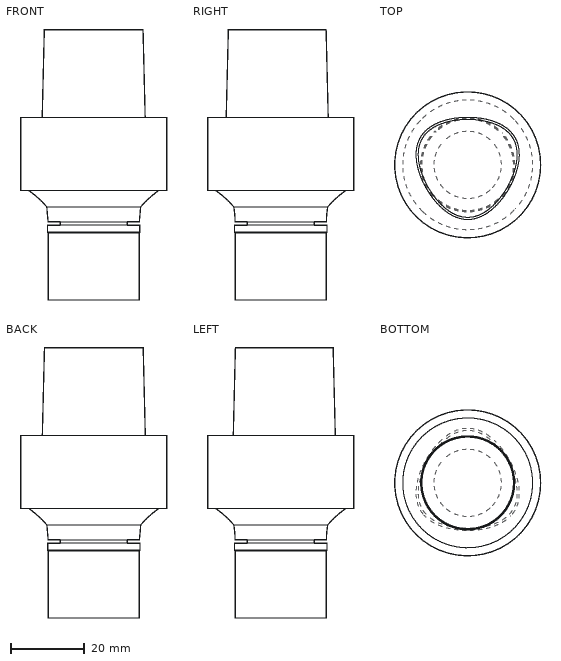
import cadquery as cq
import math

total_height = 74.0
flange_top = 49.95
flange_height = 20.0
flange_bottom = flange_top - flange_height
flare_bottom = 25.5
collar_bottom = 21.4
groove_height = 0.9
ring_top = collar_bottom - groove_height
ring_bottom = 18.65
ring_step_height = 0.3

flange_radius = 39.95 / 2
flare_top_radius = 35.5 / 2
flare_middle_radius = 30.05 / 2
collar_top_radius = 25.75 / 2
ring_radius = 25.3 / 2
groove_radius = 18.4 / 2
shank_radius = 25.0 / 2

tenon_base_radius = 14.0
tenon_end_radius = 13.4
lobe_height = 0.95
outline_steps = 48


def turned_body():
    """Shank, snap-ring groove, collar, concave flare and flange, revolved about Z."""
    flare_middle = (flange_bottom + flare_bottom) / 2
    profile = (
        cq.Workplane("XZ")
        .lineTo(shank_radius, 0)
        .lineTo(shank_radius, ring_bottom - ring_step_height)
        .lineTo(ring_radius, ring_bottom)
        .lineTo(ring_radius, ring_top)
        .lineTo(groove_radius, ring_top)
        .lineTo(groove_radius, collar_bottom)
        .lineTo(shank_radius, collar_bottom)
        .lineTo(collar_top_radius, flare_bottom)
        .threePointArc((flare_middle_radius, flare_middle), (flare_top_radius, flange_bottom))
        .lineTo(flange_radius, flange_bottom)
        .lineTo(flange_radius, flange_top)
        .lineTo(0, flange_top)
        .close()
    )
    return profile.revolve(360, (0, 0), (0, 1))


def lobed_points(mean_radius):
    """Points around a three-lobed hypotrochoid with one lobe pointing toward -Y."""
    points = []
    for step in range(outline_steps):
        angle = 2 * math.pi * step / outline_steps
        x = mean_radius * math.sin(angle) - lobe_height * math.sin(2 * angle)
        y = -mean_radius * math.cos(angle) - lobe_height * math.cos(2 * angle)
        points.append((x, y))
    return points


def lobed_tenon():
    """Tenon that tapers from the flange face to the free end."""
    return (
        cq.Workplane("XY", origin=(0, 0, flange_top))
        .spline(lobed_points(tenon_base_radius), periodic=True, makeWire=True)
        .workplane(centerOption="ProjectedOrigin", origin=(0, 0, 0), offset=total_height - flange_top)
        .spline(lobed_points(tenon_end_radius), periodic=True, makeWire=True)
        .loft(ruled=True)
    )


result = turned_body().union(lobed_tenon())